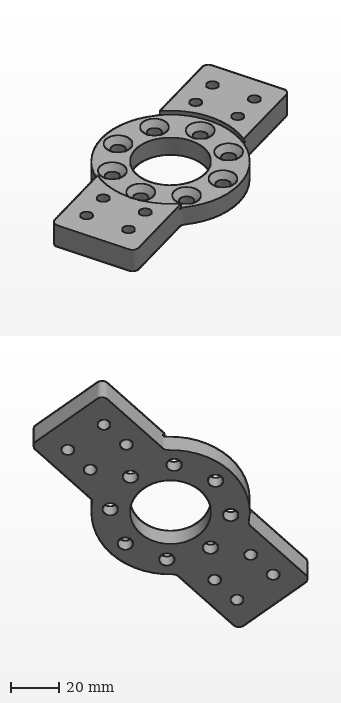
import cadquery as cq

length = 130.0
arm_width = 40.0
arm_height = 11.0
corner_radius = 3.0

ring_diameter = 65.8
ring_height = 9.0
bore_diameter = 33.5
junction_radius = 3.0

ring_hole_count = 8
ring_hole_circle = 50.0
ring_hole_diameter = 6.4
countersink_diameter = 12.0
countersink_angle = 90

arm_hole_diameter = 5.3
arm_hole_spacing_x = 20.0
arm_hole_spacing_y = 14.0
arm_hole_end_distance = 12.1


def make_bar(height):
    """Full-length bar with rounded outer corners."""
    bar = cq.Workplane("XY").rect(arm_width, length).extrude(height)
    return bar.edges("|Z").fillet(corner_radius)


def make_ring_disc(height):
    return cq.Workplane("XY").circle(ring_diameter / 2).extrude(height)


def make_body():
    """Filleted base up to the ring height, with the taller arms ending at the ring's rim."""
    search_x = (arm_width + ring_diameter) / 4
    inner_corners = cq.selectors.BoxSelector(
        (-search_x, -ring_diameter / 2, 0),
        (search_x, ring_diameter / 2, ring_height),
    )
    base = make_bar(ring_height).union(make_ring_disc(ring_height))
    base = base.edges("|Z").edges(inner_corners).fillet(junction_radius)
    arms = make_bar(arm_height).cut(make_ring_disc(arm_height))
    return base.union(arms)


def cut_ring_holes(body):
    return (
        body.cut(cq.Workplane("XY").circle(bore_diameter / 2).extrude(ring_height))
        .copyWorkplane(cq.Workplane("XY", origin=(0, 0, ring_height)))
        .polarArray(ring_hole_circle / 2, 0, 360, ring_hole_count)
        .cskHole(ring_hole_diameter, countersink_diameter, countersink_angle)
    )


def cut_arm_holes(body):
    outer_y = length / 2 - arm_hole_end_distance
    inner_y = outer_y - arm_hole_spacing_y
    points = [
        (side * arm_hole_spacing_x / 2, end * y)
        for side in (-1, 1)
        for end in (-1, 1)
        for y in (inner_y, outer_y)
    ]
    holes = cq.Workplane("XY").pushPoints(points).circle(arm_hole_diameter / 2).extrude(arm_height)
    return body.cut(holes)


result = cut_arm_holes(cut_ring_holes(make_body()))